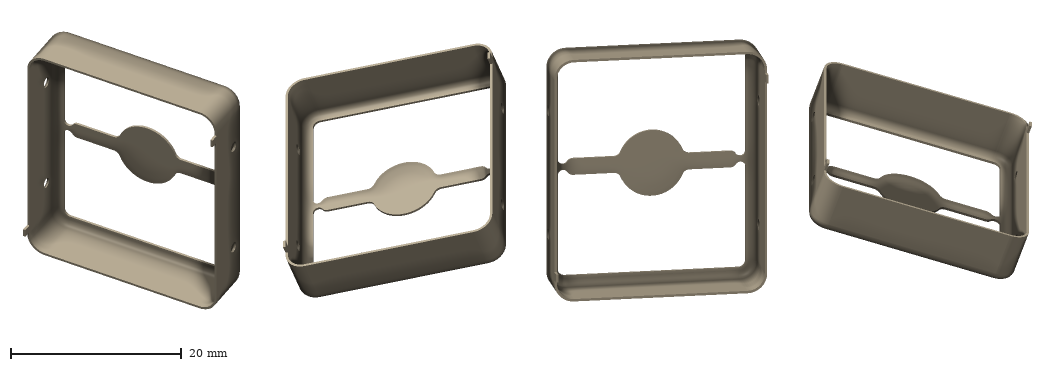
import cadquery as cq
import math

width = 25.3
height = 29.3
total_depth = 7.4
wall = 0.3

tab_length = 1.0
body_depth = total_depth - tab_length
corner_radius = 2.31
rim_radius = 1.08
flange_width = 1.5
back_y = total_depth / 2
front_y = back_y - body_depth

tab_width = 1.0
tab_corner_gap = 2.67
tab_z = height / 2 - tab_corner_gap - tab_width / 2

hole_diameter = 1.3
hole_spacing = 15.0
hole_from_back = 2.31

disc_radius = 3.98
bar_half_height = 1.0
disc_blend_radius = 0.88
neck_half_height = 0.35
notch_radius = 0.62
shoulder_radius = 0.8


def rounded_block(size_x, size_z, radius, start_y, end_y):
    """Block with rounded corners in XZ, running along Y."""
    block = cq.Workplane("XZ", origin=(0, start_y, 0)).rect(size_x, size_z).extrude(start_y - end_y)
    return block.edges("|Y").fillet(radius)


def inset_block(inset, start_y, end_y):
    """Block offset inwards from the outer outline, with concentric corners."""
    return rounded_block(width - 2 * inset, height - 2 * inset, corner_radius - inset, start_y, end_y)


def make_frame():
    """Thin shell with a rounded rim and a narrow inward flange at the back."""
    outer = inset_block(0, front_y, back_y).faces(">Y").edges().fillet(rim_radius)
    cavity = inset_block(wall, front_y, back_y - wall).faces(">Y").edges().fillet(rim_radius - wall)
    opening = inset_block(flange_width, front_y, back_y)
    return outer.cut(cavity).cut(opening)


def point_on_circle(center, radius, angle):
    return (center[0] + radius * math.cos(angle), center[1] + radius * math.sin(angle))


def make_bar_quarter():
    """Quarter of the disc and bar in +X, +Z; all arcs meet tangentially."""
    blend_z = bar_half_height + disc_blend_radius
    blend_x = math.sqrt((disc_radius + disc_blend_radius) ** 2 - blend_z**2)
    blend_center = (blend_x, blend_z)
    blend_angle = math.atan2(blend_z, blend_x)
    disc_mid = point_on_circle((0, 0), disc_radius, (math.pi / 2 + blend_angle) / 2)
    disc_end = point_on_circle((0, 0), disc_radius, blend_angle)
    blend_mid_angle = (math.pi + blend_angle + 3 * math.pi / 2) / 2
    blend_mid = point_on_circle(blend_center, disc_blend_radius, blend_mid_angle)

    edge_x = width / 2 - flange_width
    notch_center = (edge_x - notch_radius, neck_half_height + notch_radius)
    shoulder_z = bar_half_height - shoulder_radius
    center_distance = notch_radius + shoulder_radius
    center_rise = notch_center[1] - shoulder_z
    shoulder_center = (notch_center[0] - math.sqrt(center_distance**2 - center_rise**2), shoulder_z)
    turn_angle = math.asin(center_rise / center_distance)
    shoulder_mid = point_on_circle(shoulder_center, shoulder_radius, (math.pi / 2 + turn_angle) / 2)
    shoulder_end = point_on_circle(shoulder_center, shoulder_radius, turn_angle)
    notch_bottom = (notch_center[0], neck_half_height)
    notch_end = (edge_x, notch_center[1])

    overlap_x = edge_x + wall
    return (
        cq.Workplane("XZ", origin=(0, back_y, 0))
        .lineTo(0, disc_radius)
        .threePointArc(disc_mid, disc_end)
        .threePointArc(blend_mid, (blend_x, bar_half_height))
        .lineTo(shoulder_center[0], bar_half_height)
        .threePointArc(shoulder_mid, shoulder_end)
        .threePointArc(notch_bottom, notch_end)
        .lineTo(overlap_x, notch_end[1])
        .lineTo(overlap_x, 0)
        .close()
        .extrude(wall)
    )


def make_bar():
    quarter = make_bar_quarter()
    half = quarter.union(quarter.mirror("XY"))
    return half.union(half.mirror("YZ"))


def make_tab(side):
    """Tab flush with a side wall: high on +X (side 1), low on -X (side -1)."""
    length = tab_length + wall
    center = (side * (width - wall) / 2, front_y - tab_length + length / 2, side * tab_z)
    return cq.Workplane("XY").box(wall, length, tab_width).translate(center)


def make_side_holes():
    return (
        cq.Workplane("YZ", origin=(0, back_y - hole_from_back, 0))
        .pushPoints([(0, -hole_spacing / 2), (0, hole_spacing / 2)])
        .circle(hole_diameter / 2)
        .extrude(width, both=True)
    )


result = make_frame().union(make_bar())
for side in (-1, 1):
    result = result.union(make_tab(side))
result = result.cut(make_side_holes())